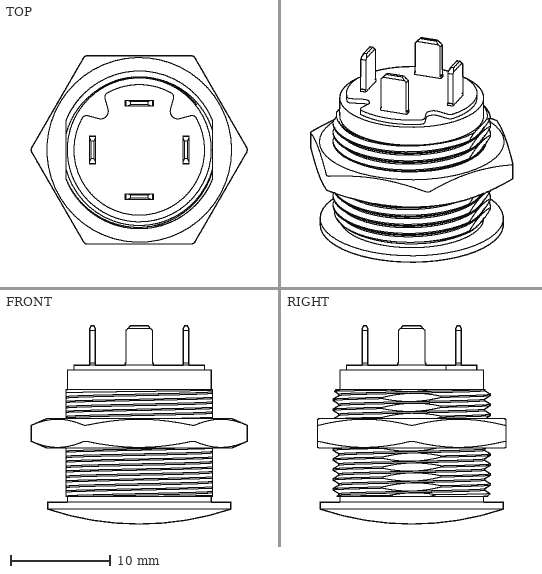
import cadquery as cq
import math

flange_bottom = 1.5
flange_top = 2.22
thread_bottom = 2.8
thread_top = 13.55
collar_top = 15.53
plate_top = 16.0
terminal_top = 20.0

flange_radius = 9.23
collar_radius = 7.25
plate_radius = 6.58

pitch = 1.0
root_radius = 7.36
flat_distance = 7.38
crest_radius = 7.95
crest_width = 0.13
root_width = 0.15
thread_chamfer = 0.35
helix_start = 1.75
helix_turns = 13
ridge_overlap = 0.05
envelope_clearance = 0.02

nut_bottom = 7.65
nut_height = 3.0
nut_across_flats = 19.0
nut_corner_radius = 0.48
nut_face_radius = 9.3
nut_chamfer_drop = 0.7

notch_angles = (45, 135)
notch_half_angle = 30
notch_apex_distance = 3.96
notch_tip_radius = 0.76
notch_mouth_radius = 0.5

terminal_angles = (0, 90, 180, 270)
terminal_distance = 4.7
terminal_width = 2.7
terminal_thickness = 0.57
terminal_foot_width = 2.83
terminal_foot_height = 0.25
tip_corner_width = 0.48
tip_corner_height = 0.5
tip_taper_depth = 0.13
tip_taper_height = 0.3


def cylinder(radius, bottom, top):
    return cq.Workplane("XY").workplane(offset=bottom).circle(radius).extrude(top - bottom)


def make_head():
    """Round flange with a spherical dome underneath."""
    dome_sphere_radius = (flange_radius**2 + flange_bottom**2) / (2 * flange_bottom)
    mid_radius = flange_radius / 2
    mid_height = dome_sphere_radius - math.sqrt(dome_sphere_radius**2 - mid_radius**2)
    return (
        cq.Workplane("XZ")
        .moveTo(0, 0)
        .threePointArc((mid_radius, mid_height), (flange_radius, flange_bottom))
        .lineTo(flange_radius, flange_top)
        .lineTo(0, flange_top)
        .close()
        .revolve(360, (0, 0, 0), (0, 1, 0))
    )


def make_thread():
    """Helical ridge and core, trimmed to length, end chamfers and side flats."""
    base_half = (pitch - root_width) / 2
    crest_half = crest_width / 2
    foot_half = base_half + ridge_overlap * (base_half - crest_half) / (crest_radius - root_radius)
    foot_radius = root_radius - ridge_overlap
    helix_height = pitch * helix_turns
    helix = cq.Wire.makeHelix(pitch, helix_height, root_radius).translate(cq.Vector(0, 0, helix_start))
    ridge = (
        cq.Workplane("XZ")
        .polyline([
            (foot_radius, helix_start - foot_half),
            (crest_radius, helix_start - crest_half),
            (crest_radius, helix_start + crest_half),
            (foot_radius, helix_start + foot_half),
        ])
        .close()
        .sweep(cq.Workplane(obj=helix), isFrenet=True)
    )
    core = cylinder(root_radius, 0, helix_start + helix_height + pitch)
    envelope = (
        cylinder(crest_radius + envelope_clearance, thread_bottom, thread_top)
        .faces("<Z or >Z")
        .chamfer(thread_chamfer)
    )
    flats = cq.Workplane("XY").box(2 * flat_distance, 4 * crest_radius, 4 * thread_top)
    return core.union(ridge).intersect(envelope).intersect(flats)


def make_nut():
    """Hexagon with rounded corners and conical chamfers on both faces."""
    across_corners = nut_across_flats / math.cos(math.radians(30))
    hexagon = (
        cq.Workplane("XY")
        .workplane(offset=nut_bottom)
        .polygon(6, across_corners)
        .extrude(nut_height)
        .edges("|Z")
        .fillet(nut_corner_radius)
    )
    rounding_loss = nut_corner_radius * (1 / math.cos(math.radians(30)) - 1)
    corner_reach = across_corners / 2 - rounding_loss
    slope = nut_chamfer_drop / (corner_reach - nut_face_radius)
    blank_radius = across_corners / 2
    blank_drop = slope * (blank_radius - nut_face_radius)
    blank = (
        cylinder(blank_radius, nut_bottom, nut_bottom + nut_height)
        .faces("<Z or >Z")
        .chamfer(blank_drop, blank_radius - nut_face_radius)
    )
    return hexagon.intersect(blank)


def make_notch(angle):
    """Wedge-shaped cutter that widens outward from the plate along an angle."""
    length = plate_radius
    half_mouth = length * math.tan(math.radians(notch_half_angle))
    return (
        cq.Workplane("XY")
        .workplane(offset=collar_top)
        .moveTo(notch_apex_distance, 0)
        .lineTo(notch_apex_distance + length, half_mouth)
        .lineTo(notch_apex_distance + length, -half_mouth)
        .close()
        .extrude(plate_top - collar_top)
        .edges("|Z and <X")
        .fillet(notch_tip_radius)
        .rotate((0, 0, 0), (0, 0, 1), angle)
    )


def make_plate():
    """Disc with two notches whose mouth corners are rounded."""
    plate = cylinder(plate_radius, collar_top, plate_top)
    for angle in notch_angles:
        plate = plate.cut(make_notch(angle))
    between_tip_and_rim = (notch_apex_distance + notch_tip_radius + plate_radius) / 2
    mouth_edges = plate.edges("|Z").filter(
        lambda edge: math.hypot(edge.Center().x, edge.Center().y) > between_tip_and_rim)
    return mouth_edges.fillet(notch_mouth_radius)


def make_terminal(angle):
    """Blade standing on the plate, broad face towards the axis, tapered at the tip."""
    foot = (
        cq.Workplane("XY")
        .workplane(offset=plate_top)
        .rect(terminal_thickness, terminal_foot_width)
        .extrude(terminal_foot_height)
    )
    half_width = terminal_width / 2
    broad = (
        cq.Workplane("YZ")
        .polyline([
            (-half_width, plate_top),
            (half_width, plate_top),
            (half_width, terminal_top - tip_corner_height),
            (half_width - tip_corner_width, terminal_top),
            (tip_corner_width - half_width, terminal_top),
            (-half_width, terminal_top - tip_corner_height),
        ])
        .close()
        .extrude(terminal_thickness / 2, both=True)
    )
    tapered = (
        cq.Workplane("XY")
        .workplane(offset=plate_top)
        .rect(terminal_thickness, terminal_foot_width)
        .extrude(terminal_top - plate_top)
        .faces(">Z")
        .edges("|Y")
        .chamfer(tip_taper_height, tip_taper_depth)
    )
    blade = broad.intersect(tapered).union(foot)
    return blade.translate((terminal_distance, 0, 0)).rotate((0, 0, 0), (0, 0, 1), angle)


body = make_head().union(cylinder(collar_radius, flange_top, collar_top))
body = body.union(make_plate()).union(make_nut())
for terminal_angle in terminal_angles:
    body = body.union(make_terminal(terminal_angle))
result = body.union(make_thread())